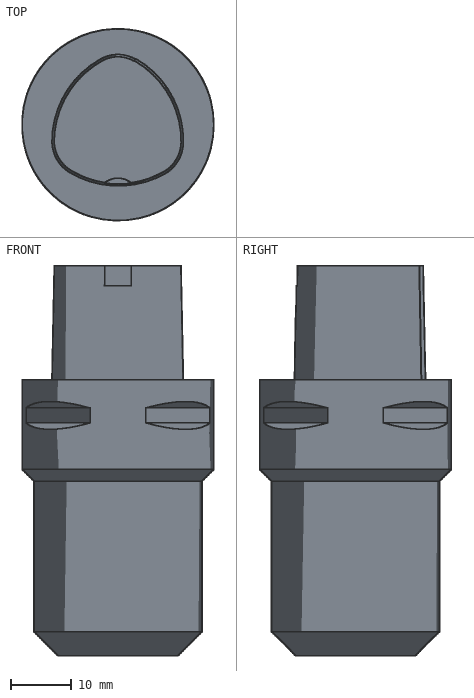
import cadquery as cq
import math

total_height = 65.0
body_diameter = 28.0
flange_diameter = 32.0
shank_height = 19.0
flange_height = 14.95
bottom_chamfer = 4.0

flange_radius = flange_diameter / 2
body_radius = body_diameter / 2
flange_top = total_height - shank_height
flange_bottom = flange_top - flange_height
flange_chamfer = flange_radius - body_radius

lobe_centre_radius = 5.9
lobe_radius = 5.8
flank_radius = 16.1
shank_inset = 0.4
lobe_angles = (90, 210, 330)
arc_half_angle = 30

scoop_radius = 3.5
scoop_floor_distance = 8.9
scoop_height = 3.4

groove_count = 4
groove_start_angle = 45
groove_floor_distance = 14.1
groove_floor_height = 2.5
groove_wall_angle = 30
groove_drop = 6.0
groove_clearance = 0.65


def polar(radius, angle, centre=(0, 0)):
    turn = math.radians(angle)
    return centre[0] + radius * math.cos(turn), centre[1] + radius * math.sin(turn)


def make_body():
    """Revolved body and flange with 45 degree chamfers."""
    profile = [
        (0, 0),
        (body_radius - bottom_chamfer, 0),
        (body_radius, bottom_chamfer),
        (body_radius, flange_bottom - flange_chamfer),
        (flange_radius, flange_bottom),
        (flange_radius, flange_top),
        (0, flange_top),
    ]
    return cq.Workplane("XZ").polyline(profile).close().revolve(360, (0, 0), (0, 1))


def draw_lobes(sketch, inset):
    """Closed outline of alternating lobe and flank arcs, shrunk by inset."""
    lobe = lobe_radius - inset
    flank = flank_radius - inset
    first_centre = polar(lobe_centre_radius, lobe_angles[0])
    sketch = sketch.moveTo(*polar(lobe, lobe_angles[0] - arc_half_angle, first_centre))
    for angle in lobe_angles:
        lobe_centre = polar(lobe_centre_radius, angle)
        lobe_end = polar(lobe, angle + arc_half_angle, lobe_centre)
        sketch = sketch.threePointArc(polar(lobe, angle, lobe_centre), lobe_end)

        flank_angle = angle + 2 * arc_half_angle
        flank_centre = polar(lobe_centre_radius, flank_angle + 180)
        flank_end = polar(flank, flank_angle + arc_half_angle, flank_centre)
        sketch = sketch.threePointArc(polar(flank, flank_angle, flank_centre), flank_end)
    return sketch.close()


def make_shank():
    """Tapered three-lobed shank standing on the flange."""
    base = draw_lobes(cq.Workplane("XY").workplane(offset=flange_top), 0)
    return draw_lobes(base.workplane(offset=shank_height), shank_inset).loft(ruled=True)


def make_scoop():
    """Upright cylinder that cuts the scoop from the top edge."""
    return (
        cq.Workplane("XY")
        .workplane(offset=total_height - scoop_height)
        .center(0, -(scoop_floor_distance + scoop_radius))
        .circle(scoop_radius)
        .extrude(scoop_height)
    )


def make_groove():
    """Straight groove cutter facing +X, widening outward from a flat floor."""
    centre_height = flange_top - groove_drop
    outer_distance = flange_radius + groove_clearance
    floor_half = groove_floor_height / 2
    wall_spread = (outer_distance - groove_floor_distance) * math.tan(math.radians(groove_wall_angle))
    outer_half = floor_half + wall_spread
    section = [
        (groove_floor_distance, centre_height - floor_half),
        (outer_distance, centre_height - outer_half),
        (outer_distance, centre_height + outer_half),
        (groove_floor_distance, centre_height + floor_half),
    ]
    return cq.Workplane("XZ").polyline(section).close().extrude(flange_radius, both=True)


result = make_body().union(make_shank()).cut(make_scoop())
for index in range(groove_count):
    groove_angle = groove_start_angle + index * 360 / groove_count
    result = result.cut(make_groove().rotate((0, 0, 0), (0, 0, 1), groove_angle))